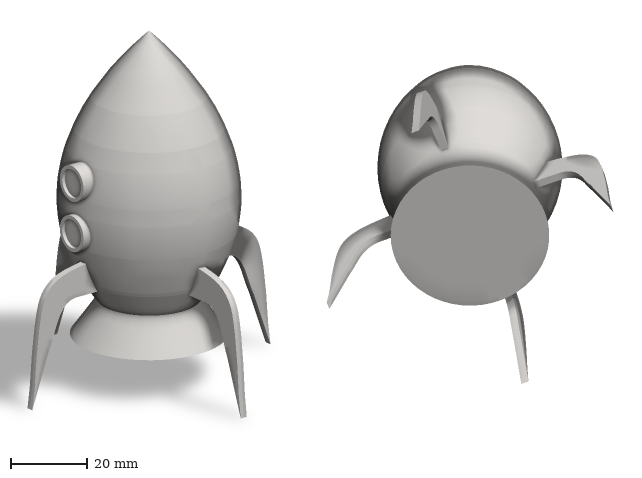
import cadquery as cq

NOSE_TIP_Z = 97.0
NOSE_BASE_Z = 78.8
BAND_BASE_Z = 70.0
STRIP_TOP_Z = 30.3
STRIP_BASE_Z = 29.1
TAIL_BASE_Z = 22.1
NOZZLE_BASE_Z = 12.2

NOSE_BASE_R = 15.3
BAND_BASE_R = 20.0
WIDEST_R = 24.3
WIDEST_Z = 50.9
FIN_TOP_R = 22.1
FIN_TOP_Z = 37.0
STRIP_R = 19.3
TAIL_BASE_R = 13.8
NOZZLE_BASE_R = 20.9

PORTHOLE_D = 10.0
PORTHOLE_RECESS_D = 8.0
PORTHOLE_RECESS_DEPTH = 1.0
PORTHOLE_FACE_Y = -26.0
PORTHOLE_ROOT_Y = -14.55
PORTHOLE_HEIGHTS = (46.0, 60.0)

FIN_COUNT = 4
FIN_THICKNESS = 2.0
FIN_TIP_R = 40.01
FIN_ROOT_R = 11.6
FIN_UNDERSIDE_Z = 28.2
FIN_OUTER_CURVE = [
    (38.7, 12.9),
    (37.1, 25.7),
    (35.5, 30.6),
    (32.3, 34.0),
    (26.5, 36.2),
    (FIN_TOP_R, FIN_TOP_Z),
]
FIN_INNER_CURVE = [
    (28.5, 27.1),
    (31.1, 23.6),
    (34.3, 15.5),
]
FIN_UNDERSIDE_END_R = 24.7


def make_fuselage():
    """Whole egg-shaped solid, before it is divided into sections."""
    side = [
        (NOSE_BASE_R, NOSE_BASE_Z),
        (BAND_BASE_R, BAND_BASE_Z),
        (WIDEST_R, WIDEST_Z),
        (FIN_TOP_R, FIN_TOP_Z),
        (STRIP_R, STRIP_TOP_Z),
        (TAIL_BASE_R, TAIL_BASE_Z),
    ]
    return (
        cq.Workplane("XZ")
        .moveTo(0, NOSE_TIP_Z)
        .spline(side, includeCurrent=True)
        .lineTo(0, TAIL_BASE_Z)
        .close()
        .revolve(360, (0, 0), (0, 1))
    )


def section(solid, bottom, top):
    """Slice of a solid between two heights."""
    slab = cq.Workplane("XY").workplane(offset=bottom).circle(2 * WIDEST_R).extrude(top - bottom)
    return solid.intersect(slab)


def porthole_cylinder(height, diameter, back_y):
    """Cylinder along Y from back_y out to the porthole face."""
    return (
        cq.Workplane("XZ", origin=(0, back_y, height))
        .circle(diameter / 2)
        .extrude(back_y - PORTHOLE_FACE_Y)
    )


def make_hull(fuselage):
    """Main section with the raised, recessed portholes."""
    hull = section(fuselage, STRIP_TOP_Z, BAND_BASE_Z)
    recess_floor_y = PORTHOLE_FACE_Y + PORTHOLE_RECESS_DEPTH
    for height in PORTHOLE_HEIGHTS:
        hull = hull.union(porthole_cylinder(height, PORTHOLE_D, PORTHOLE_ROOT_Y))
        hull = hull.cut(porthole_cylinder(height, PORTHOLE_RECESS_D, recess_floor_y))
    return hull


def make_nozzle():
    """Flared cone under the tail."""
    return (
        cq.Workplane("XZ")
        .moveTo(0, NOZZLE_BASE_Z)
        .lineTo(NOZZLE_BASE_R, NOZZLE_BASE_Z)
        .lineTo(TAIL_BASE_R, TAIL_BASE_Z)
        .lineTo(0, TAIL_BASE_Z)
        .close()
        .revolve(360, (0, 0), (0, 1))
    )


def make_fin(fuselage, angle):
    """Swept landing fin, its root trimmed to the fuselage surface."""
    plate = (
        cq.Workplane("XZ", origin=(0, FIN_THICKNESS / 2, 0))
        .moveTo(FIN_TIP_R, 0)
        .spline(FIN_OUTER_CURVE, includeCurrent=True)
        .lineTo(FIN_ROOT_R, FIN_TOP_Z)
        .lineTo(FIN_ROOT_R, FIN_UNDERSIDE_Z)
        .lineTo(FIN_UNDERSIDE_END_R, FIN_UNDERSIDE_Z)
        .spline(FIN_INNER_CURVE, includeCurrent=True)
        .close()
        .extrude(FIN_THICKNESS)
        .rotate((0, 0, 0), (0, 0, 1), angle)
    )
    return plate.cut(fuselage)


fuselage = make_fuselage()
nose = section(fuselage, NOSE_BASE_Z, NOSE_TIP_Z)
band = section(fuselage, BAND_BASE_Z, NOSE_BASE_Z)
hull = make_hull(fuselage)
strip = section(fuselage, STRIP_BASE_Z, STRIP_TOP_Z)
tail = section(fuselage, TAIL_BASE_Z, STRIP_BASE_Z)
nozzle = make_nozzle()
fins = [make_fin(fuselage, index * 360 / FIN_COUNT) for index in range(FIN_COUNT)]

result = cq.Compound.makeCompound(
    [
        nose.solids().val(),
        band.solids().val(),
        hull.solids().val(),
        strip.solids().val(),
        tail.solids().val(),
        nozzle.solids().val(),
        *[fin.solids().val() for fin in fins],
    ]
)